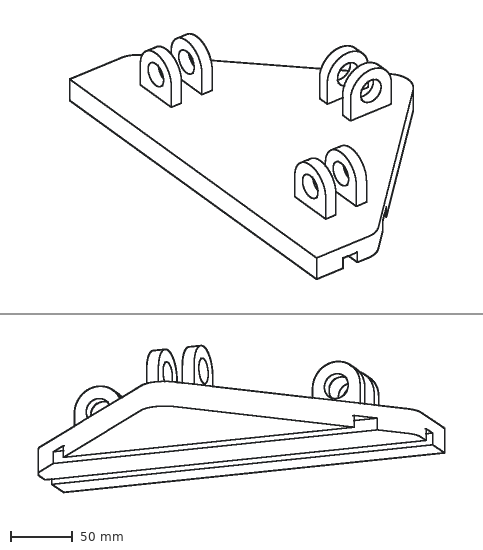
import cadquery as cq
import math

plate_width = 332.8
plate_length = 219.31
plate_thickness = 20.8
corner_radius = 20.8
half_width = plate_width / 2
apex_y = plate_length + corner_radius * (math.sqrt(2) - 1)
side_height = apex_y - half_width

lug_width = 41.6
lug_thickness = 10.4
lug_gap = 20.8
lug_radius = lug_width / 2
lug_hole_diameter = 20.8
lug_hole_height = lug_radius
side_clevis_x = 104.0
side_clevis_y = side_height
apex_clevis_y = side_clevis_y + side_clevis_x

groove_width = 14.56
groove_depth = 9.88
groove_centers_y = (34.3, 93.65)


def make_plate():
    """Base plate with its apex and both shoulders rounded."""
    plate = (
        cq.Workplane("XY")
        .moveTo(-half_width, 0)
        .lineTo(half_width, 0)
        .lineTo(half_width, side_height)
        .lineTo(0, apex_y)
        .lineTo(-half_width, side_height)
        .close()
        .extrude(plate_thickness)
    )
    return plate.edges("|Z exc <Y").fillet(corner_radius)


def make_clevis():
    """Two round-topped lugs at the origin, with the pin hole along Y."""
    lug = (
        cq.Workplane("XZ")
        .moveTo(-lug_radius, 0)
        .lineTo(lug_radius, 0)
        .lineTo(lug_radius, lug_hole_height)
        .threePointArc((0, lug_hole_height + lug_radius), (-lug_radius, lug_hole_height))
        .close()
        .moveTo(0, lug_hole_height)
        .circle(lug_hole_diameter / 2)
        .extrude(lug_thickness / 2, both=True)
    )
    offset = (lug_gap + lug_thickness) / 2
    return lug.translate((0, -offset, 0)).union(lug.translate((0, offset, 0)))


def make_groove(center_y):
    """Cutter for one groove running the full width of the underside, along X."""
    groove = cq.Workplane("XY").box(plate_width, groove_width, groove_depth, centered=(True, True, False))
    return groove.translate((0, center_y, 0))


result = make_plate()

for y in groove_centers_y:
    result = result.cut(make_groove(y))

clevis = make_clevis()
for x in (-side_clevis_x, side_clevis_x):
    result = result.union(clevis.translate((x, side_clevis_y, plate_thickness)))

apex_clevis = clevis.rotate((0, 0, 0), (0, 0, 1), 90)
result = result.union(apex_clevis.translate((0, apex_clevis_y, plate_thickness)))